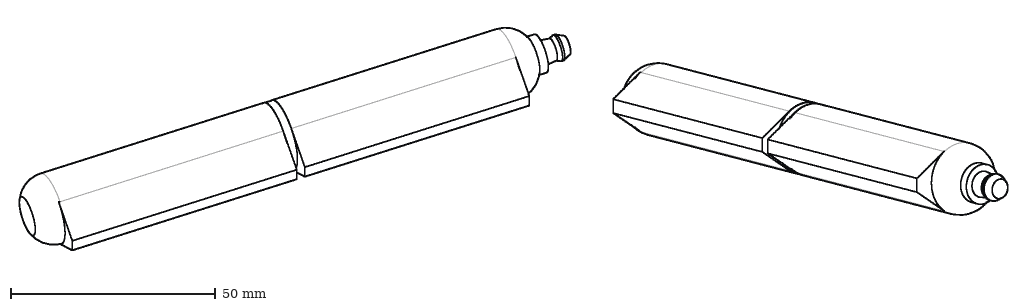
import cadquery as cq
import math


total_length = 144.0
total_width = 22.5
barrel_radius = 18.0 / 2

lower_edge_start = 6.2
knuckle_length = 59.9
washer_length = 2.2
washer_radius = 17.9 / 2

end_flat_radius = 10.0 / 2
dome_length = 6.5

collar_radius = end_flat_radius
collar_length = 2.3
neck_base_radius = 6.5 / 2
neck_radius = 5.8 / 2
rim_radius = 6.8 / 2
tip_radius = 4.9 / 2
tip_length = 2.0
rim_length = 0.6
rim_taper_length = 1.2

edge_height = 3.5

washer_start = lower_edge_start + knuckle_length
washer_end = washer_start + washer_length
barrel_end = washer_end + knuckle_length
dome_end = barrel_end + dome_length
collar_end = dome_end + collar_length
rim_end = total_length - tip_length
rim_start = rim_end - rim_length
neck_end = rim_start - rim_taper_length


def dome_midpoint(base, length):
    """Middle of an end arc that leaves the barrel tangentially; negative length points to -Y."""
    drop = barrel_radius - end_flat_radius
    arc_radius = (drop**2 + length**2) / (2 * drop)
    half_angle = math.asin(abs(length) / arc_radius) / 2
    radius = barrel_radius - arc_radius * (1 - math.cos(half_angle))
    offset = math.copysign(arc_radius * math.sin(half_angle), length)
    return radius, base + offset


def make_spindle():
    """Revolve the barrel, washer, rounded ends and grease nipple in one profile."""
    profile = (
        cq.Workplane("XY")
        .lineTo(end_flat_radius, 0)
        .threePointArc(dome_midpoint(dome_length, -dome_length), (barrel_radius, dome_length))
        .lineTo(barrel_radius, washer_start)
        .lineTo(washer_radius, washer_start)
        .lineTo(washer_radius, washer_end)
        .lineTo(barrel_radius, washer_end)
        .lineTo(barrel_radius, barrel_end)
        .threePointArc(dome_midpoint(barrel_end, dome_length), (end_flat_radius, dome_end))
        .lineTo(collar_radius, collar_end)
        .lineTo(neck_base_radius, collar_end)
        .lineTo(neck_radius, neck_end)
        .lineTo(rim_radius, rim_start)
        .lineTo(rim_radius, rim_end)
        .lineTo(tip_radius, total_length)
        .lineTo(0, total_length)
        .close()
    )
    return profile.revolve(360, (0, 0), (0, 1))


def make_welding_edge(start):
    """Wedge along one knuckle, with flanks tangent to the barrel."""
    tip_x = total_width - barrel_radius
    tip_z = edge_height / 2
    tip_distance = math.hypot(tip_x, tip_z)
    tangent_angle = math.atan2(tip_z, tip_x) + math.acos(barrel_radius / tip_distance)
    tangent_x = barrel_radius * math.cos(tangent_angle)
    tangent_z = barrel_radius * math.sin(tangent_angle)
    return (
        cq.Workplane("XZ")
        .workplane(offset=-start)
        .polyline([
            (0, 0),
            (tangent_x, tangent_z),
            (tip_x, tip_z),
            (tip_x, -tip_z),
            (tangent_x, -tangent_z),
        ])
        .close()
        .extrude(-knuckle_length)
    )


result = make_spindle()
for edge_start in (lower_edge_start, washer_end):
    result = result.union(make_welding_edge(edge_start))